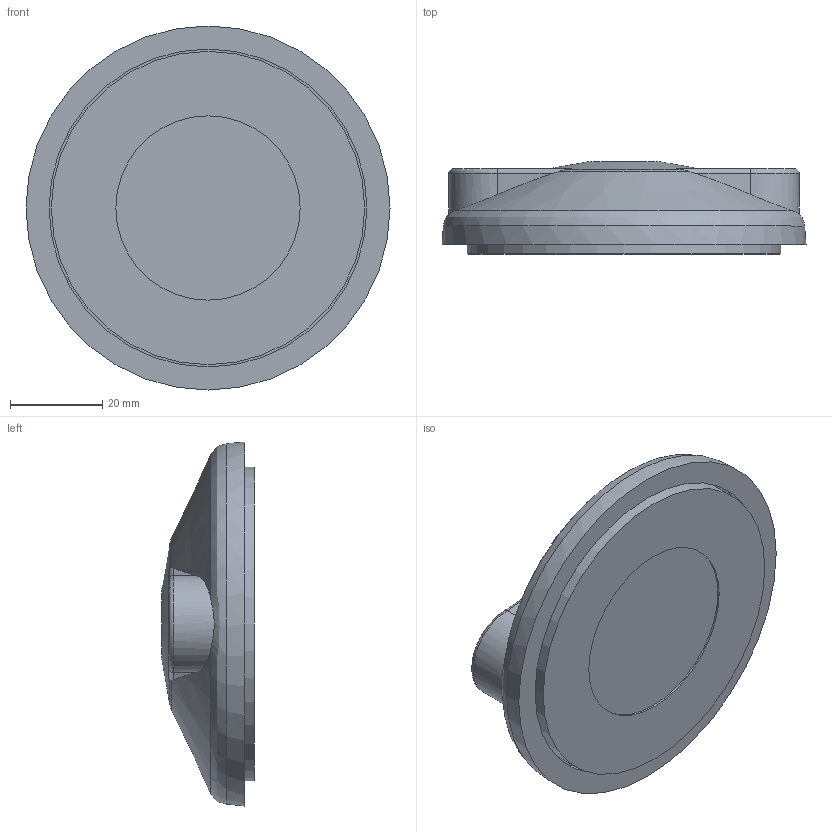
import cadquery as cq
import math


base_diameter = 68.0
base_height = 2.0
groove_diameter = 69.0
groove_depth = 2.0
recess_diameter = 40.0
recess_depth = 0.4

rim_diameter = 79.0
total_height = 20.01
rim_draft = math.radians(4.0)
shoulder_height = 8.4
cone_angle = math.radians(25.0)
crown_angle = math.radians(10.0)
crown_flat_diameter = 15.5
shoulder_fillet = 4.0
crown_fillet = 6.0

grip_end_radius = 10.5
grip_end_offset = 27.5
grip_flare = math.radians(7.4)
grip_top = 18.5
grip_bottom = 4.0
grip_edge_fillet = 1.0


def disc(diameter, start, height):
    """Disc on the Y axis, reaching from y = start to y = start + height."""
    plane = cq.Plane(origin=(0, start, 0), xDir=(1, 0, 0), normal=(0, 1, 0))
    return cq.Workplane(plane).circle(diameter / 2).extrude(height)


def circle_at(body, radius, height):
    """Circular edge of a turned body with the given radius and height."""
    margin = 0.01
    box = cq.selectors.BoxSelector(
        (-radius - margin, height - margin, -radius - margin),
        (radius + margin, height + margin, radius + margin),
        boundingbox=True,
    )
    return body.edges("%CIRCLE").edges(box)


def make_dome():
    rim_radius = rim_diameter / 2
    flat_radius = crown_flat_diameter / 2
    shoulder_radius = rim_radius - (shoulder_height - base_height) * math.tan(rim_draft)

    cone_slope = math.tan(cone_angle)
    crown_slope = math.tan(crown_angle)
    rise = total_height - shoulder_height
    cone_drop = shoulder_radius * cone_slope - flat_radius * crown_slope - rise
    break_radius = cone_drop / (cone_slope - crown_slope)
    break_height = total_height - (break_radius - flat_radius) * crown_slope

    dome = (
        cq.Workplane("XY")
        .moveTo(0, base_height)
        .lineTo(rim_radius, base_height)
        .lineTo(shoulder_radius, shoulder_height)
        .lineTo(break_radius, break_height)
        .lineTo(flat_radius, total_height)
        .lineTo(0, total_height)
        .close()
        .revolve(360, (0, 0, 0), (0, 1, 0))
    )
    dome = circle_at(dome, shoulder_radius, shoulder_height).fillet(shoulder_fillet)
    return circle_at(dome, break_radius, break_height).fillet(crown_fillet)


def make_grip():
    mid_half_width = grip_end_radius + grip_end_offset * math.tan(grip_flare)
    tip = grip_end_offset + grip_end_radius
    plane = cq.Plane(origin=(0, grip_bottom, 0), xDir=(1, 0, 0), normal=(0, 1, 0))
    return (
        cq.Workplane(plane)
        .moveTo(0, mid_half_width)
        .lineTo(grip_end_offset, grip_end_radius)
        .threePointArc((tip, 0), (grip_end_offset, -grip_end_radius))
        .lineTo(0, -mid_half_width)
        .lineTo(-grip_end_offset, -grip_end_radius)
        .threePointArc((-tip, 0), (-grip_end_offset, grip_end_radius))
        .close()
        .extrude(grip_top - grip_bottom)
        .faces(">Y")
        .edges()
        .fillet(grip_edge_fillet)
    )


def cut_base_details(body):
    groove = disc(groove_diameter, base_height, groove_depth).cut(
        disc(base_diameter, base_height, groove_depth)
    )
    recess = disc(recess_diameter, 0, recess_depth)
    return body.cut(groove).cut(recess)


base = disc(base_diameter, 0, base_height)
result = cut_base_details(make_dome().union(base).union(make_grip()))